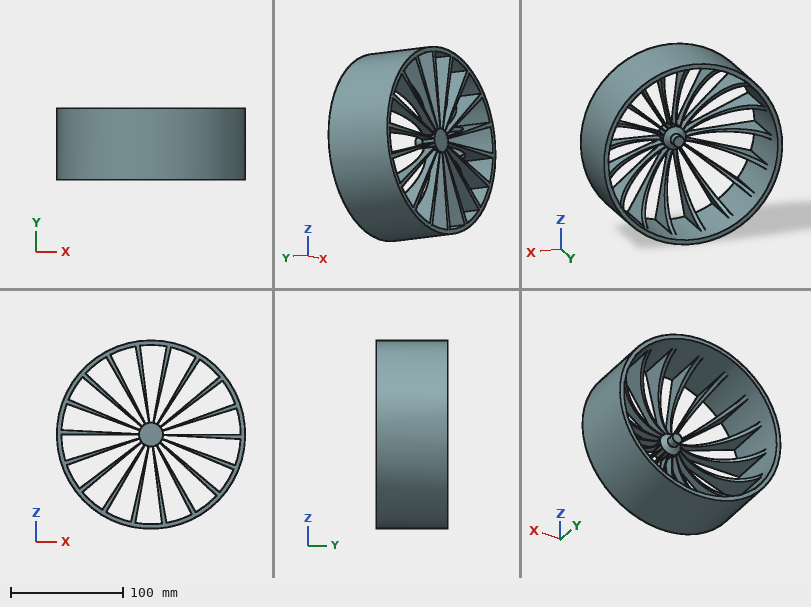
import cadquery as cq
import math

OUTER_DIAMETER = 168.3
WIDTH = 64.13
RIM_THICKNESS = 4.25

BLADE_COUNT = 18
BLADE_ANGLE = 3.0

HUB_RADIUS = 10.8
AXLE_RADIUS = 5.0
AXLE_LENGTH = 25.0

HOLLOW_SECTION_RADIUS = 48.0
HOLLOW_CENTRE_RADIUS = 33.0
BLADE_MIN_DEPTH = 7.8

OUTER_RADIUS = OUTER_DIAMETER / 2
INNER_RADIUS = OUTER_RADIUS - RIM_THICKNESS
RIM_MID_RADIUS = (OUTER_RADIUS + INNER_RADIUS) / 2
BLADE_ROOT_RADIUS = HUB_RADIUS / 2
FRONT_Y = -WIDTH / 2
BACK_Y = WIDTH / 2
BLADE_PITCH = 360.0 / BLADE_COUNT
HOLLOW_CENTRE_Y = FRONT_Y + BLADE_MIN_DEPTH + HOLLOW_SECTION_RADIUS
AXIS_START = (0, 0, 0)
AXIS_END = (0, 1, 0)


def make_cylinder(radius, length):
    """Solid cylinder on the wheel axis, running back from the front face."""
    front_plane = cq.Plane(origin=(0, FRONT_Y, 0), xDir=(0, 0, 1), normal=(0, 1, 0))
    return cq.Workplane(front_plane).circle(radius).extrude(length)


def make_rim():
    """Full-width outer ring."""
    return make_cylinder(OUTER_RADIUS, WIDTH).cut(make_cylinder(INNER_RADIUS, WIDTH))


def make_blade(index):
    """Full-width wedge from inside the hub to the middle of the rim wall."""
    section = (
        cq.Workplane("XY")
        .moveTo(BLADE_ROOT_RADIUS, FRONT_Y)
        .lineTo(RIM_MID_RADIUS, FRONT_Y)
        .lineTo(RIM_MID_RADIUS, BACK_Y)
        .lineTo(BLADE_ROOT_RADIUS, BACK_Y)
        .close()
    )
    wedge = section.revolve(BLADE_ANGLE, AXIS_START, AXIS_END)
    return wedge.rotate(AXIS_START, AXIS_END, -index * BLADE_PITCH)


def make_hollow():
    """Solid of the hollow: the part of its circle on one side of the axis, revolved once around."""
    half_chord = math.sqrt(HOLLOW_SECTION_RADIUS**2 - HOLLOW_CENTRE_RADIUS**2)
    section = (
        cq.Workplane("XY")
        .moveTo(0, HOLLOW_CENTRE_Y - half_chord)
        .threePointArc(
            (HOLLOW_CENTRE_RADIUS + HOLLOW_SECTION_RADIUS, HOLLOW_CENTRE_Y),
            (0, HOLLOW_CENTRE_Y + half_chord),
        )
        .close()
    )
    hollow = section.revolve(360, AXIS_START, AXIS_END)
    return hollow.rotate(AXIS_START, AXIS_END, -BLADE_PITCH / 2)


def make_spider():
    """Hub and blades with their backs scooped out by the hollow."""
    spider = make_cylinder(HUB_RADIUS, WIDTH)
    for index in range(BLADE_COUNT):
        spider = spider.union(make_blade(index))
    return spider.cut(make_hollow())


result = make_rim().union(make_spider()).union(make_cylinder(AXLE_RADIUS, AXLE_LENGTH))